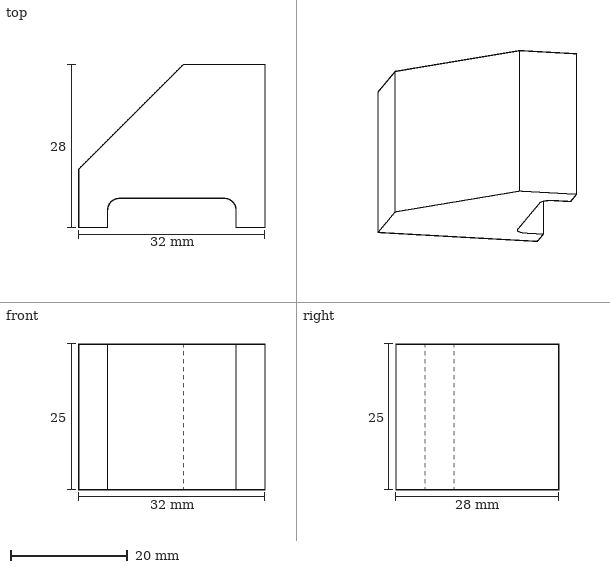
import cadquery as cq

width = 32.0
depth = 28.0
height = 25.0

corner_cut = 18.0

leg_width = 5.0
channel_depth = 5.0
channel_radius = 2.0
channel_width = width - 2 * leg_width


def make_block():
    """Block with its lower left corner at the origin and one corner cut off."""
    block = cq.Workplane("XY").box(width, depth, height, centered=False)
    return block.edges("|Z and <X and >Y").chamfer(corner_cut)


def make_channel():
    """Cutter for the channel, rounded along its two inner edges."""
    channel = (
        cq.Workplane("XY")
        .box(channel_width, channel_depth, height, centered=False)
        .translate((leg_width, 0, 0))
    )
    return channel.edges("|Z and >Y").fillet(channel_radius)


result = make_block().cut(make_channel())